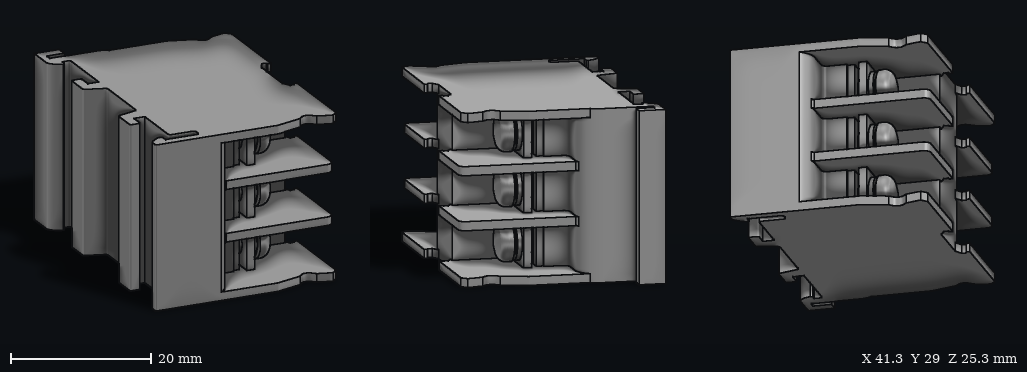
import cadquery as cq
import math

LENGTH = 41.3
DEPTH = 29.0
HEIGHT = 25.3
CENTRE_X = 22.3
POLES = 3
PLATE = 1.32
PITCH = (HEIGHT - PLATE) / POLES
BAY = PITCH - PLATE

UNDERSIDE = 3.45
WALL_X = 2.8
TAB_WIDTH = 1.78
TAB_HEIGHT = 3.95
TAB_FLOOR = 1.2
HOOK_GAP_X = 4.85
HOOK_TIP_X = 5.75
HOOK_TOP = 2.25
HOOK_TIP_Y = 1.95
HOOK_TOE_X = 4.35
TOE_ROUND = 0.6
HOOK_BEND = (5.35, 0.95)
TIP_CORNER = 0.2
CLIP_SLOT_LEFT = 38.35
CLIP_SLOT_RIGHT = 39.85
CLIP_SLOT_TOP = 7.55
CLIP_SLOT_ROUND = 0.45
CLIP_TIP_X = 38.57
CLIP_TOE_X = 40.15
CLIP_BEND = (39.2, 0.85)
FOOT_BOTTOM = 0.15
FOOT_LIP_TOP = 1.78
FOOT_OUTER = 10.0
FOOT_STEM = 7.8
FOOT_TOE = 5.95
FOOT_ROOT = 4.95
FOOT_BLEND = 0.45
LIP_ROUND = 0.25
GAP_ROUND = 0.35
CLIP_MOUTH_ROUND = 0.5

SHOULDER_RADIUS = 3.3
SHOULDER_Y = 8.55
FLOOR_Y = SHOULDER_Y + SHOULDER_RADIUS
SHOULDER_X = WALL_X + SHOULDER_RADIUS

PLATE_HALF = LENGTH - CENTRE_X
TAPER_Y = 19.3
NECK_HALF = 17.85
NECK_LOW_Y = 23.25
NOTCH_HALF = 17.0
NOTCH_Y = 24.5
NOTCH_MOUTH_HALF = 17.35
NOTCH_REACH = 0.8
EAR_LOW_HALF = 17.9
EAR_LOW_Y = 25.85
EAR_LIP_HALF = 18.4
EAR_LIP_Y = 27.75
EAR_HALF = 18.45
EAR_Y = 28.2
EAR_TOP_HALF = 17.65
TOP_LIP_HALF = 4.4
TOP_NOTCH_HALF = 4.8
TOP_LIP_Y = 28.5
TOP_NOTCH_HIGH_Y = 28.37
TOP_NOTCH_LOW_Y = 27.7
TOP_FLOOR_HALF = 3.65
CORE_TOP = 27.05

DIVIDER_X = 5.3
DIVIDER_ROUND = 1.05
DIVIDER_ROOT = 0.37
CORE_X = 17.75
BAR_X = 9.75
BAR_TOP = 18.55
BAR_BOTTOM = 17.35
RECESS_X = 12.4
LEDGE_X = 10.57
LEDGE_TOP = 16.48
LEDGE_BOTTOM = 15.45
BASE_WALL_X = 10.15
BASE_ROUND = 0.83
SCREW_X = 13.2
HEAD_RADIUS = 2.97
HEAD_BOTTOM = 19.7
HEAD_RIM = 20.4
DOME_RADIUS = 2.3
DOME_Y = 21.55
DOME_TOP = 21.97
WASHER_RADIUS = 2.8
NECK_RADIUS = 2.05
WASHER_TOP = 19.25
STUB_RADIUS = 1.8
STUB_BOTTOM = 16.7

CLEAR = 2.05
PICK = 0.05


def add_lines(sketch, points):
    for x, y in points:
        sketch = sketch.lineTo(x, y)
    return sketch


def shoulder_y(x):
    """Y of the rounded base shoulder at a given X."""
    return SHOULDER_Y + math.sqrt(SHOULDER_RADIUS**2 - (SHOULDER_X - x) ** 2)


def add_shoulder(sketch, end_x):
    """Add the shoulder arc from the base wall up to end_x."""
    mid_x = WALL_X + (end_x - WALL_X) / 3
    return sketch.threePointArc((mid_x, shoulder_y(mid_x)), (end_x, shoulder_y(end_x)))


def plate_side():
    """Points of the plate edge below its side notch, as (distance from CENTRE_X, Y)."""
    return [
        (PLATE_HALF, TAPER_Y), (NECK_HALF, NECK_LOW_Y), (NOTCH_MOUTH_HALF, NOTCH_Y - NOTCH_REACH),
    ]


def plate_ear():
    """Points of the plate edge from its side notch to the middle top notch."""
    return [
        (NOTCH_MOUTH_HALF, NOTCH_Y + NOTCH_REACH), (EAR_LOW_HALF, EAR_LOW_Y),
        (EAR_LIP_HALF, EAR_LIP_Y), (EAR_HALF, EAR_Y), (EAR_TOP_HALF, DEPTH),
        (TOP_LIP_HALF, DEPTH), (TOP_LIP_HALF, TOP_LIP_Y), (TOP_NOTCH_HALF, TOP_NOTCH_HIGH_Y),
        (TOP_NOTCH_HALF, TOP_NOTCH_LOW_Y), (TOP_FLOOR_HALF, CORE_TOP),
    ]


def on_right(points):
    return [(CENTRE_X + half, y) for half, y in points]


def on_left(points):
    """Mirrored points, reversed so that the outline keeps running the same way round."""
    return [(CENTRE_X - half, y) for half, y in reversed(points)]


def foot_profile():
    """Points of one middle foot, from its slanted side to its stem."""
    return [
        (FOOT_ROOT, UNDERSIDE), (FOOT_TOE, FOOT_BOTTOM), (FOOT_OUTER, FOOT_BOTTOM),
        (FOOT_OUTER, FOOT_LIP_TOP), (FOOT_STEM, FOOT_LIP_TOP), (FOOT_STEM, UNDERSIDE),
    ]


def outline():
    """Full cross-section shared by the base and the two end plates."""
    feet = on_left(foot_profile()) + on_right(foot_profile())
    plate_left = CENTRE_X - PLATE_HALF
    mid_x = (WALL_X + plate_left) / 2
    s = cq.Workplane("XY").moveTo(0, 0)
    s = s.lineTo(HOOK_TOE_X, 0).threePointArc(HOOK_BEND, (HOOK_TIP_X, HOOK_TIP_Y))
    s = s.lineTo(HOOK_TIP_X - TIP_CORNER, HOOK_TOP).lineTo(HOOK_GAP_X, HOOK_TOP)
    s = s.lineTo(HOOK_GAP_X, UNDERSIDE)
    s = add_lines(s, feet)
    s = s.lineTo(CLIP_SLOT_LEFT, UNDERSIDE).lineTo(CLIP_SLOT_LEFT, CLIP_SLOT_TOP)
    s = s.lineTo(CLIP_SLOT_RIGHT, CLIP_SLOT_TOP).lineTo(CLIP_SLOT_RIGHT, HOOK_TOP)
    s = s.lineTo(CLIP_TIP_X + TIP_CORNER, HOOK_TOP).lineTo(CLIP_TIP_X, HOOK_TIP_Y)
    s = s.threePointArc(CLIP_BEND, (CLIP_TOE_X, 0)).lineTo(LENGTH, 0)
    s = add_lines(s, on_right(plate_side()))
    s = s.threePointArc((CENTRE_X + NOTCH_HALF, NOTCH_Y), on_right(plate_ear())[0])
    s = add_lines(s, on_right(plate_ear())[1:] + on_left(plate_ear()))
    s = s.threePointArc((CENTRE_X - NOTCH_HALF, NOTCH_Y), on_left(plate_side())[0])
    s = add_lines(s, on_left(plate_side())[1:])
    s = s.lineTo(plate_left, shoulder_y(plate_left))
    s = s.threePointArc((mid_x, shoulder_y(mid_x)), (WALL_X, SHOULDER_Y))
    s = s.lineTo(WALL_X, TAB_FLOOR).lineTo(TAB_WIDTH, TAB_FLOOR)
    return s.lineTo(TAB_WIDTH, TAB_HEIGHT).lineTo(0, TAB_HEIGHT).close()


def round_edges(solid, points, radius):
    """Fillet the full-height edges that stand at the given (X, Y) points."""
    for x, y in points:
        low = (x - PICK, y - PICK, -PICK)
        high = (x + PICK, y + PICK, HEIGHT + PICK)
        solid = solid.edges(cq.selectors.BoxSelector(low, high)).edges("|Z").fillet(radius)
    return solid


def round_base(solid):
    """Round the feet, the hook gap and the clip on the rail side."""
    foot_sides = [-1, 1]
    roots = [(CENTRE_X + side * FOOT_ROOT, UNDERSIDE) for side in foot_sides]
    toes = [(CENTRE_X + side * FOOT_TOE, FOOT_BOTTOM) for side in foot_sides]
    lips = [(CENTRE_X + side * FOOT_OUTER, FOOT_BOTTOM) for side in foot_sides]
    lips.append((CENTRE_X + FOOT_OUTER, FOOT_LIP_TOP))
    slot_ends = [(CLIP_SLOT_LEFT, CLIP_SLOT_TOP), (CLIP_SLOT_RIGHT, CLIP_SLOT_TOP)]
    solid = round_edges(solid, roots + toes, FOOT_BLEND)
    solid = round_edges(solid, lips + [(LENGTH, 0)], LIP_ROUND)
    solid = round_edges(solid, [(HOOK_TOE_X, 0)], TOE_ROUND)
    solid = round_edges(solid, [(HOOK_GAP_X, UNDERSIDE)], GAP_ROUND)
    solid = round_edges(solid, [(CLIP_SLOT_LEFT, UNDERSIDE)], CLIP_MOUTH_ROUND)
    return round_edges(solid, slot_ends, CLIP_SLOT_ROUND)


def bay_cut():
    """Space of one terminal bay, leaving its floor, wall, ledge and terminal bar."""
    s = cq.Workplane("XY").moveTo(-CLEAR, SHOULDER_Y).lineTo(WALL_X, SHOULDER_Y)
    s = add_shoulder(s, SHOULDER_X)
    s = s.lineTo(BASE_WALL_X - BASE_ROUND, FLOOR_Y)
    s = s.tangentArcPoint((BASE_WALL_X, FLOOR_Y + BASE_ROUND), relative=False)
    s = add_lines(s, [
        (BASE_WALL_X, LEDGE_BOTTOM), (LEDGE_X, LEDGE_BOTTOM), (LEDGE_X, LEDGE_TOP),
        (RECESS_X, LEDGE_TOP), (RECESS_X, BAR_BOTTOM), (BAR_X, BAR_BOTTOM), (BAR_X, BAR_TOP),
        (CORE_X, BAR_TOP), (CORE_X, CORE_TOP), (CENTRE_X, CORE_TOP),
        (CENTRE_X, DEPTH + CLEAR), (-CLEAR, DEPTH + CLEAR),
    ])
    return s.close().extrude(BAY)


def divider_cut():
    """Material trimmed off the end of a divider."""
    root_x = DIVIDER_X - DIVIDER_ROOT
    s = cq.Workplane("XY").moveTo(-CLEAR, SHOULDER_Y).lineTo(WALL_X, SHOULDER_Y)
    s = add_shoulder(s, root_x)
    s = s.lineTo(DIVIDER_X, shoulder_y(root_x) + DIVIDER_ROOT)
    s = s.lineTo(DIVIDER_X, DEPTH - DIVIDER_ROUND)
    s = s.tangentArcPoint((DIVIDER_X + DIVIDER_ROUND, DEPTH), relative=False)
    s = s.lineTo(DIVIDER_X + DIVIDER_ROUND, DEPTH + CLEAR).lineTo(-CLEAR, DEPTH + CLEAR)
    return s.close().extrude(PLATE)


def screw():
    """Pan-head screw, washer and stub, turned about an axis parallel to Y."""
    s = cq.Workplane("XY").moveTo(0, STUB_BOTTOM).lineTo(STUB_RADIUS, STUB_BOTTOM)
    s = s.lineTo(STUB_RADIUS, BAR_TOP).lineTo(WASHER_RADIUS, BAR_TOP)
    s = s.lineTo(WASHER_RADIUS, WASHER_TOP).lineTo(NECK_RADIUS, WASHER_TOP)
    s = s.lineTo(NECK_RADIUS, HEAD_BOTTOM).lineTo(HEAD_RADIUS, HEAD_BOTTOM)
    s = s.lineTo(HEAD_RADIUS, HEAD_RIM)
    s = s.tangentArcPoint((DOME_RADIUS, DOME_Y), relative=False)
    rise = DOME_TOP - DOME_Y
    sphere_radius = (DOME_RADIUS**2 + rise**2) / (2 * rise)
    mid_radius = DOME_RADIUS / 2
    mid_drop = sphere_radius - math.sqrt(sphere_radius**2 - mid_radius**2)
    s = s.threePointArc((mid_radius, DOME_TOP - mid_drop), (0, DOME_TOP)).close()
    turned = s.revolve(360, (0, 0, 0), (0, 1, 0))
    return turned.translate((SCREW_X, 0, BAY / 2))


def both_sides(shape):
    """The shape and its mirror image across the symmetry plane."""
    return [shape, shape.mirror("YZ", (CENTRE_X, 0, 0))]


block = round_base(outline().extrude(HEIGHT))

for pole in range(POLES):
    bay_z = PLATE + pole * PITCH
    for cut in both_sides(bay_cut()):
        block = block.cut(cut.translate((0, 0, bay_z)))
    for part in both_sides(screw()):
        block = block.union(part.translate((0, 0, bay_z)))
for divider in range(1, POLES):
    for cut in both_sides(divider_cut()):
        block = block.cut(cut.translate((0, 0, divider * PITCH)))
result = block